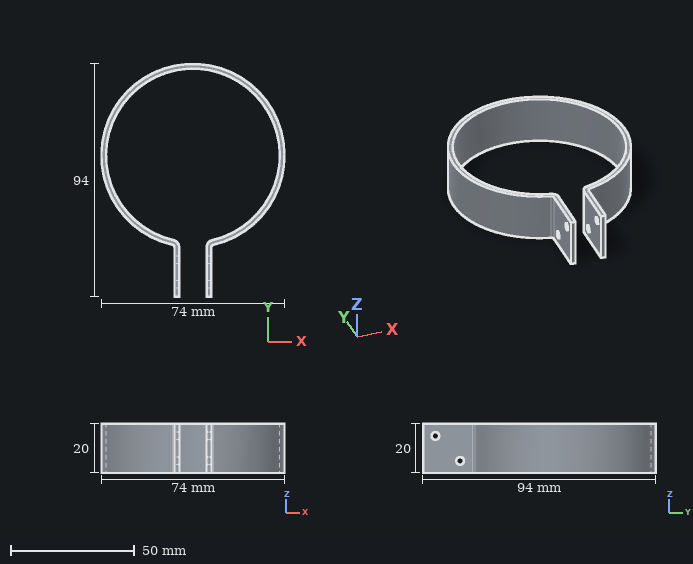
import cadquery as cq
import math

total_length = 94.0
ring_diameter = 74.0
strip_width = 20.0
strip_thickness = 2.0

leg_gap = 11.0
bend_inner_radius = 1.0

hole_diameter = 3.0
hole_edge_distance = 5.0

outer_radius = ring_diameter / 2
inner_radius = outer_radius - strip_thickness
bend_outer_radius = bend_inner_radius + strip_thickness
leg_end_y = outer_radius - total_length

bend_x = leg_gap / 2 + bend_outer_radius
bend_distance = outer_radius + bend_inner_radius
bend_y = -math.sqrt(bend_distance**2 - bend_x**2)
ring_end_angle = math.atan2(bend_y, bend_x)
bend_mid_angle = ring_end_angle / 2 + math.pi


def ring_point(radius, side):
    """Point where the ring meets a bend; side is 1 for +X, -1 for -X."""
    return (side * radius * math.cos(ring_end_angle), radius * math.sin(ring_end_angle))


def bend_middle(radius, side):
    """Point halfway along a bend arc."""
    x = bend_x + radius * math.cos(bend_mid_angle)
    return (side * x, bend_y + radius * math.sin(bend_mid_angle))


def make_strip():
    """Open ring with two bent legs, as one closed outline extruded upward."""
    gap_x = leg_gap / 2
    leg_outer_x = gap_x + strip_thickness
    return (
        cq.Workplane("XY")
        .moveTo(gap_x, leg_end_y)
        .lineTo(leg_outer_x, leg_end_y)
        .lineTo(leg_outer_x, bend_y)
        .threePointArc(bend_middle(bend_inner_radius, 1), ring_point(outer_radius, 1))
        .threePointArc((0, outer_radius), ring_point(outer_radius, -1))
        .threePointArc(bend_middle(bend_inner_radius, -1), (-leg_outer_x, bend_y))
        .lineTo(-leg_outer_x, leg_end_y)
        .lineTo(-gap_x, leg_end_y)
        .lineTo(-gap_x, bend_y)
        .threePointArc(bend_middle(bend_outer_radius, -1), ring_point(inner_radius, -1))
        .threePointArc((0, inner_radius), ring_point(inner_radius, 1))
        .threePointArc(bend_middle(bend_outer_radius, 1), (gap_x, bend_y))
        .close()
        .extrude(strip_width)
    )


def make_holes():
    """Pins along X: upper one near the leg ends, lower one near the bends."""
    hole_positions = [
        (leg_end_y + hole_edge_distance, strip_width - hole_edge_distance),
        (bend_y - hole_edge_distance, hole_edge_distance),
    ]
    return (
        cq.Workplane("YZ")
        .pushPoints(hole_positions)
        .circle(hole_diameter / 2)
        .extrude(outer_radius, both=True)
    )


result = make_strip().cut(make_holes())